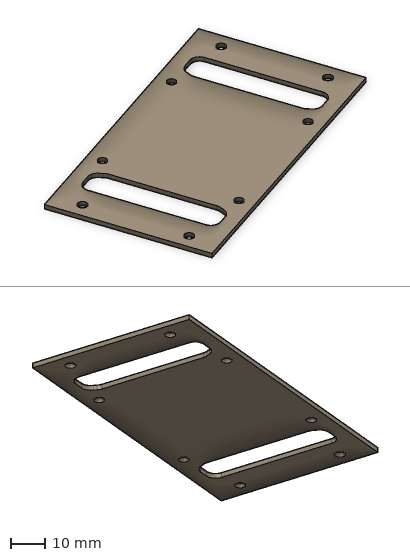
import cadquery as cq

plate_width = 55.0
plate_length = 100.0
plate_thickness = 1.59
plate_center = (0, 0, 0)

edge_hole_diameter = 3.17
edge_hole_spacing_x = 35.0
edge_hole_inset = 5.0
edge_hole_spacing_y = plate_length - 2 * edge_hole_inset

inner_hole_diameter = 3.0
inner_hole_spacing = 44.8

slot_side_margin = 5.0
slot_width = plate_width - 2 * slot_side_margin
slot_height = 10.0
slot_corner_radius = 3.175
slot_center_offset = 32.75

inner_land_radius = 6.5


def drill_rectangle(body, spacing_x, spacing_y, diameter):
    """Drill four through holes at the corners of a centred rectangle."""
    return (
        body.faces(">Z")
        .workplane(origin=plate_center)
        .rect(spacing_x, spacing_y, forConstruction=True)
        .vertices()
        .hole(diameter)
    )


def inner_lands():
    """Four discs centred on the inner holes."""
    return (
        cq.Workplane("XY")
        .rect(inner_hole_spacing, inner_hole_spacing, forConstruction=True)
        .vertices()
        .circle(inner_land_radius)
        .extrude(plate_thickness)
    )


def slot_cutter(center_y):
    """Slot prism: a rectangle less the inner lands, with every corner rounded."""
    return (
        cq.Workplane("XY")
        .center(0, center_y)
        .rect(slot_width, slot_height)
        .extrude(plate_thickness)
        .cut(inner_lands())
        .edges("|Z")
        .fillet(slot_corner_radius)
    )


plate = cq.Workplane("XY").rect(plate_width, plate_length).extrude(plate_thickness)
plate = drill_rectangle(plate, edge_hole_spacing_x, edge_hole_spacing_y, edge_hole_diameter)
plate = drill_rectangle(plate, inner_hole_spacing, inner_hole_spacing, inner_hole_diameter)

for side in (-1, 1):
    plate = plate.cut(slot_cutter(side * slot_center_offset))

result = plate